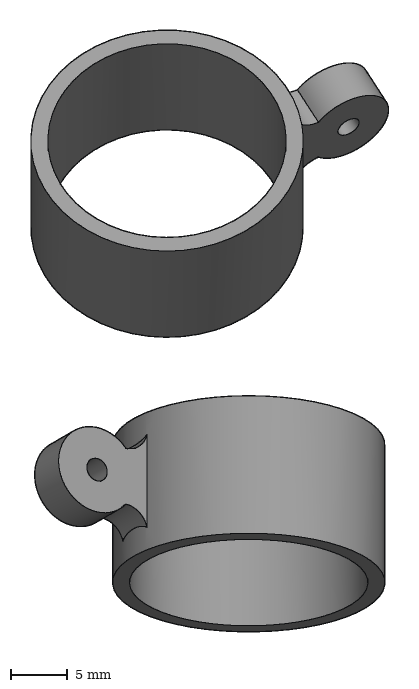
import cadquery as cq
import math

ring_diameter = 24.0
bore_diameter = 21.0
ring_height = 13.0

total_length = 33.0
lug_thickness = 4.0
head_radius = 4.0
pin_hole_diameter = 2.1
neck_half_height = 2.65
flare_radius = 2.25

ring_radius = ring_diameter / 2
wall_middle_y = (ring_diameter + bore_diameter) / 4
head_y = total_length - ring_radius - head_radius
neck_y = head_y - math.sqrt(head_radius**2 - neck_half_height**2)
flare_end_y = neck_y - flare_radius
flare_half_height = neck_half_height + flare_radius
flare_mid_y = neck_y - flare_radius * math.sin(math.radians(45))
flare_mid_height = flare_half_height - flare_radius * math.cos(math.radians(45))


def make_ring():
    """Plain tube centred on the origin."""
    return (
        cq.Workplane("XY", origin=(0, 0, -ring_height / 2))
        .circle(ring_radius)
        .circle(bore_diameter / 2)
        .extrude(ring_height)
    )


def make_lug():
    """Round head with a cross hole, on a neck flared into the ring wall."""
    neck = (
        cq.Workplane("YZ")
        .moveTo(wall_middle_y, -flare_half_height)
        .lineTo(flare_end_y, -flare_half_height)
        .threePointArc((flare_mid_y, -flare_mid_height), (neck_y, -neck_half_height))
        .lineTo(head_y, -neck_half_height)
        .lineTo(head_y, neck_half_height)
        .lineTo(neck_y, neck_half_height)
        .threePointArc((flare_mid_y, flare_mid_height), (flare_end_y, flare_half_height))
        .lineTo(wall_middle_y, flare_half_height)
        .close()
        .extrude(lug_thickness / 2, both=True)
    )
    head_plane = cq.Workplane("YZ").center(head_y, 0)
    head = head_plane.circle(head_radius).extrude(lug_thickness / 2, both=True)
    hole = head_plane.circle(pin_hole_diameter / 2).extrude(lug_thickness, both=True)
    return neck.union(head).cut(hole)


result = make_ring().union(make_lug())